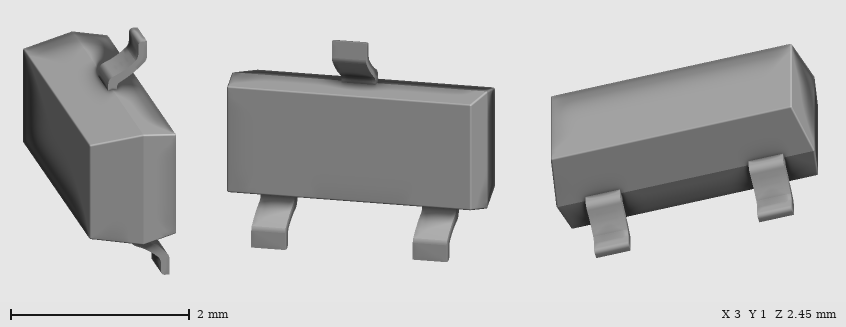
import cadquery as cq
import math

LENGTH = 3.0
DEPTH = 1.0
HOUSING_HEIGHT = 1.35
DRAFT_ANGLE = 9.5
EDGE_RADIUS = 0.02
BACK_Y = DEPTH / 2
BACK_HALF_DEPTH = 0.4
FRONT_HALF_DEPTH = DEPTH - BACK_HALF_DEPTH
PARTING_Y = BACK_Y - BACK_HALF_DEPTH
PARTING_MARGIN = 0.003

OVERALL_HEIGHT = 2.45
TIP_Z = OVERALL_HEIGHT / 2
LEAD_THICKNESS = 0.1
LEAD_WIDTH = 0.4
LOWER_LEAD_X = 0.948
TIP_RADIUS = 0.048
ROOT_TRIM = 0.045
ROOT_Z = HOUSING_HEIGHT / 2 - ROOT_TRIM
ROOT_FRONT_Y = PARTING_Y - LEAD_THICKNESS / 2
ROOT_BACK_Y = PARTING_Y + LEAD_THICKNESS / 2
FOOT_FRONT_Y = BACK_Y - LEAD_THICKNESS
SLOPE_BULGE = 0.015

FRONT_SLOPE_LOW = (0.11, 0.837)
FRONT_SLOPE_HIGH = (0.37, 1.0)
BACK_SLOPE_LOW = (0.192, 0.762)
BACK_SLOPE_HIGH = (0.483, 0.98)

FRONT_ROOT_BEND_Z = 0.738
FRONT_FOOT_BEND_Z = 1.07
BACK_ROOT_BEND_Z = 0.7
BACK_FOOT_BEND_Z = 1.032

FRONT_ROOT_BOW = (-0.015, 0.012)
FRONT_FOOT_BOW = (0.005, -0.003)
BACK_ROOT_BOW = (-0.01, 0.005)
BACK_FOOT_BOW = (0.003, -0.003)


def housing_half(depth):
    """Half of the housing, drafted inward as it leaves the parting plane; negative depth goes to +Y."""
    return (
        cq.Workplane("XZ", origin=(0, PARTING_Y, 0))
        .rect(LENGTH, HOUSING_HEIGHT)
        .extrude(depth, taper=DRAFT_ANGLE)
    )


def make_housing():
    blank = housing_half(FRONT_HALF_DEPTH).union(housing_half(-BACK_HALF_DEPTH))
    parting_edges = cq.selectors.BoxSelector(
        (-LENGTH, PARTING_Y - PARTING_MARGIN, -LENGTH),
        (LENGTH, PARTING_Y + PARTING_MARGIN, LENGTH),
    )
    rounded_edges = [edge for edge in blank.edges().vals() if not parting_edges.filter([edge])]
    return blank.newObject(rounded_edges).fillet(EDGE_RADIUS)


def slope_middle(low, high):
    """Middle of the curved strip, bowed off its chord toward the housing."""
    run = high[0] - low[0]
    rise = high[1] - low[1]
    chord = math.hypot(run, rise)
    return (
        (low[0] + high[0]) / 2 + SLOPE_BULGE * rise / chord,
        (low[1] + high[1]) / 2 - SLOPE_BULGE * run / chord,
    )


def bend_middle(start, end, bow):
    """Middle of a bend, bowed off its chord by the given (Y, Z) shift."""
    return ((start[0] + end[0]) / 2 + bow[0], (start[1] + end[1]) / 2 + bow[1])


def make_lead(x, housing):
    """Upright lead centered on x, its root trimmed to the housing surface."""
    front_root = (ROOT_FRONT_Y, FRONT_ROOT_BEND_Z)
    front_foot = (FOOT_FRONT_Y, FRONT_FOOT_BEND_Z)
    back_root = (ROOT_BACK_Y, BACK_ROOT_BEND_Z)
    back_foot = (BACK_Y, BACK_FOOT_BEND_Z)
    strip = (
        cq.Workplane("YZ", origin=(x, 0, 0))
        .moveTo(ROOT_FRONT_Y, ROOT_Z)
        .lineTo(*front_root)
        .threePointArc(bend_middle(front_root, FRONT_SLOPE_LOW, FRONT_ROOT_BOW), FRONT_SLOPE_LOW)
        .threePointArc(slope_middle(FRONT_SLOPE_LOW, FRONT_SLOPE_HIGH), FRONT_SLOPE_HIGH)
        .threePointArc(bend_middle(FRONT_SLOPE_HIGH, front_foot, FRONT_FOOT_BOW), front_foot)
        .lineTo(FOOT_FRONT_Y, TIP_Z)
        .lineTo(BACK_Y, TIP_Z)
        .lineTo(*back_foot)
        .threePointArc(bend_middle(back_foot, BACK_SLOPE_HIGH, BACK_FOOT_BOW), BACK_SLOPE_HIGH)
        .threePointArc(slope_middle(BACK_SLOPE_LOW, BACK_SLOPE_HIGH), BACK_SLOPE_LOW)
        .threePointArc(bend_middle(BACK_SLOPE_LOW, back_root, BACK_ROOT_BOW), back_root)
        .lineTo(ROOT_BACK_Y, ROOT_Z)
        .close()
        .extrude(LEAD_WIDTH / 2, both=True)
    )
    strip = strip.faces(">Z").edges("<Y").fillet(TIP_RADIUS)
    return strip.cut(housing)


housing = make_housing()
leads = [make_lead(0, housing)]
for lower_x in (-LOWER_LEAD_X, LOWER_LEAD_X):
    leads.append(make_lead(lower_x, housing).mirror("XY"))

result = cq.Compound.makeCompound([housing.val(), *[lead.val() for lead in leads]])